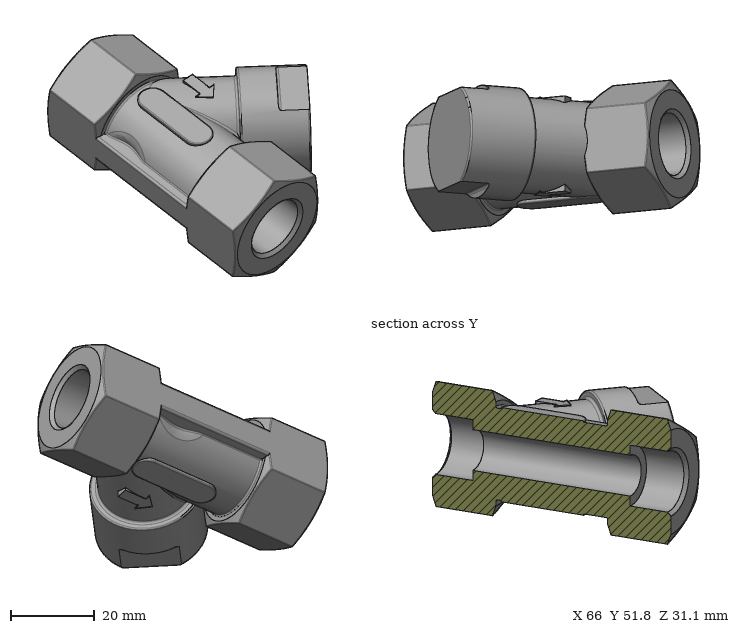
import cadquery as cq
import math

total_length = 66.0
nut_length = 17.6
across_flats = 27.0
nut_edge_round = 0.25
face_circle_radius = 12.95
corner_bevel = 1.0
tube_radius = 11.4
nut_root_round = 0.4

through_bore = 10.0
socket_bore = 15.0
socket_mouth = 16.75
socket_depth = 11.2

web_width = 7.6
web_edge_round = 0.6
web_root_round = 0.3

dimple_x = -8.05
dimple_floor_y = -8.45
dimple_radius = 8.6
dimple_rim_round = 3.0
dimple_rim_reach = 6.6

branch_angle = 50.0
branch_x = -13.0
branch_length = 38.9
collar_length = 16.8
collar_radius = across_flats / 2
neck_radius = tube_radius
collar_round = 0.4
neck_round = 0.65
saddle_round = 0.65

flat_height = 11.4
flat_length = 7.5
flat_root_round = 0.65

plate_height = 11.75
plate_left, plate_right = -14.05, 8.9
plate_width = 7.2
plate_round = 0.25
arrow_height = 11.55
arrow_tail, arrow_neck, arrow_tip = -10.0, -4.1, -1.1
arrow_y = 10.95
arrow_shaft_width = 3.05
arrow_head_width = 6.1

overlap = 0.65

half_length = total_length / 2
half_flats = across_flats / 2
corner_radius = half_flats / math.cos(math.radians(30))
tube_end = half_length - nut_length


def nut():
    """Hexagonal end on the -X side with its corners turned down at both faces."""
    hexagon = (
        cq.Workplane("YZ", origin=(-half_length, 0, 0))
        .polygon(6, 2 * corner_radius)
        .extrude(nut_length)
        .rotate((0, 0, 0), (1, 0, 0), 30)
    )
    turned = (
        cq.Workplane("XY")
        .moveTo(-half_length, 0)
        .lineTo(-half_length, face_circle_radius)
        .lineTo(-half_length + corner_bevel, corner_radius)
        .lineTo(-tube_end - corner_bevel, corner_radius)
        .lineTo(-tube_end, face_circle_radius)
        .lineTo(-tube_end, 0)
        .close()
        .revolve(360, (0, 0, 0), (1, 0, 0))
    )
    return hexagon.intersect(turned).edges("not %CIRCLE").fillet(nut_edge_round)


def tube():
    """Round run between the nuts, flaring into each nut face."""
    flare_radius = tube_radius + nut_root_round
    buried_end = tube_end + overlap
    return (
        cq.Workplane("XY")
        .moveTo(-buried_end, 0)
        .lineTo(-buried_end, flare_radius)
        .lineTo(-tube_end, flare_radius)
        .radiusArc((-tube_end + nut_root_round, tube_radius), -nut_root_round)
        .lineTo(tube_end - nut_root_round, tube_radius)
        .radiusArc((tube_end, flare_radius), -nut_root_round)
        .lineTo(buried_end, flare_radius)
        .lineTo(buried_end, 0)
        .close()
        .revolve(360, (0, 0, 0), (1, 0, 0))
    )


def dimpled_tube():
    """Tube with a spherical dimple on its -Y side, blended at the rim."""
    ball = cq.Workplane("XY").sphere(dimple_radius).translate((dimple_x, dimple_floor_y - dimple_radius, 0))
    near_rim = cq.selectors.BoxSelector(
        (dimple_x - dimple_rim_reach, -tube_radius, -tube_radius),
        (dimple_x + dimple_rim_reach, -0.65, tube_radius),
    )
    return tube().cut(ball).edges(near_rim).fillet(dimple_rim_round)


def web():
    return (
        cq.Workplane("XY")
        .box(2 * tube_end + 2 * corner_bevel, half_flats, web_width)
        .translate((0, -half_flats / 2, 0))
        .edges("|X and <Y")
        .fillet(web_edge_round)
    )


def along_branch(shape):
    """Place a shape built along +X onto the inclined branch axis."""
    return shape.rotate((0, 0, 0), (0, 0, 1), branch_angle).translate((branch_x, 0, 0))


def neck():
    return along_branch(cq.Workplane("YZ").circle(neck_radius).extrude(branch_length - overlap))


def collar():
    """Capped end of the branch with its wrench flats and the flare down to the neck."""
    start = branch_length - collar_length
    body = (
        cq.Workplane("YZ", origin=(start, 0, 0))
        .circle(collar_radius)
        .extrude(collar_length)
        .faces("<X or >X")
        .edges()
        .fillet(collar_round)
    )
    for side in (1, -1):
        flat = (
            cq.Workplane("XY", origin=(branch_length, 0, side * flat_height))
            .rect(2 * flat_length, 2 * collar_radius)
            .extrude(side * collar_radius)
            .edges("|Y and <X")
            .edges("<Z" if side > 0 else ">Z")
            .fillet(flat_root_round)
        )
        body = body.cut(flat)
    flare = (
        cq.Workplane("XY")
        .moveTo(start - neck_round, 0)
        .lineTo(start - neck_round, neck_radius)
        .radiusArc((start, neck_radius + neck_round), -neck_round)
        .lineTo(start, 0)
        .close()
        .revolve(360, (0, 0, 0), (1, 0, 0))
    )
    return along_branch(body.union(flare))


def plate():
    return (
        cq.Workplane("XY")
        .center((plate_left + plate_right) / 2, 0)
        .slot2D(plate_right - plate_left, plate_width)
        .extrude(plate_height, both=True)
        .faces("|Z")
        .edges()
        .fillet(plate_round)
    )


def arrow():
    """Flow arrow pointing along +X."""
    half_shaft = arrow_shaft_width / 2
    half_head = arrow_head_width / 2
    return (
        cq.Workplane("XY", origin=(0, arrow_y, 0))
        .moveTo(arrow_tail, -half_shaft)
        .lineTo(arrow_neck, -half_shaft)
        .lineTo(arrow_neck, -half_head)
        .lineTo(arrow_tip, 0)
        .lineTo(arrow_neck, half_head)
        .lineTo(arrow_neck, half_shaft)
        .lineTo(arrow_tail, half_shaft)
        .close()
        .extrude(arrow_height, both=True)
    )


def bores():
    """Through bore with a bevelled socket at each end."""
    through = cq.Workplane("YZ", origin=(-half_length, 0, 0)).circle(through_bore / 2).extrude(total_length)
    mouth_bevel = (socket_mouth - socket_bore) / 2
    socket = (
        cq.Workplane("XY")
        .moveTo(-half_length, 0)
        .lineTo(-half_length, socket_mouth / 2)
        .lineTo(-half_length + mouth_bevel, socket_bore / 2)
        .lineTo(-half_length + socket_depth, socket_bore / 2)
        .lineTo(-half_length + socket_depth, 0)
        .close()
        .revolve(360, (0, 0, 0), (1, 0, 0))
    )
    return through.union(socket).union(socket.mirror("YZ"))


def core():
    """Tube, neck and web with their blended joints."""
    saddle = cq.selectors.BoxSelector(
        (0, 0.65, -tube_radius),
        (neck_radius, tube_radius, tube_radius),
    )
    branched = dimpled_tube().union(neck()).edges(saddle).edges("%ELLIPSE").fillet(saddle_round)
    web_root = cq.selectors.BoxSelector(
        (-tube_end, -tube_radius + nut_root_round, -web_width),
        (tube_end, -half_flats / 2, web_width),
    )
    return branched.union(web()).edges(web_root).fillet(web_root_round)


left_nut = nut()
result = (
    core()
    .union(collar())
    .union(left_nut)
    .union(left_nut.mirror("YZ"))
    .union(plate())
    .union(arrow())
    .cut(bores())
)